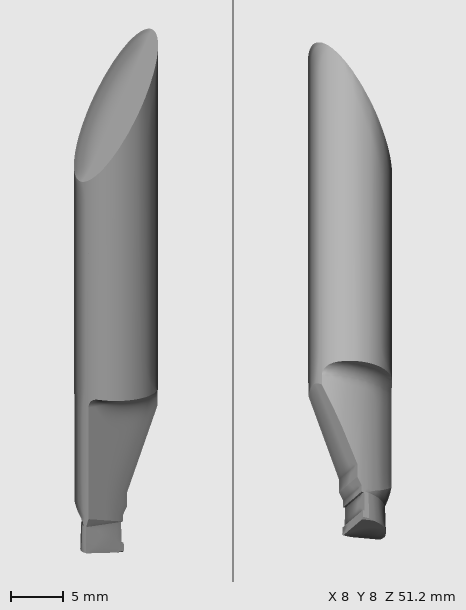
import cadquery as cq
import math

length = 51.2
diameter = 8.0
radius = diameter / 2
slant_angle = 60.0
slant_height = diameter * math.tan(math.radians(slant_angle))
shoulder_z = 16.0

neck_left = -2.28
neck_edge_x = -1.305
neck_edge_y = -math.sqrt(radius**2 - neck_edge_x**2)
neck_right = 1.35
shoulder_fillet = 0.95

back_slope_top_z = 14.55
back_step_y = 0.45
back_step_top_z = 5.9
back_step_bottom_z = 4.5
back_slope_end_z = 3.7

tip_height = 3.0
land_depth = 0.65
tip_top_left = -2.4
tip_bottom_left = -2.55
tip_top_front_left = 0.59
tip_bottom_front_left = 0.385
tip_front_right = 1.0
tip_bottom_right = 1.55
tip_bow = 0.65
bottom_rise = 0.4
corner_chamfer = 0.2
rake_depth = 0.2
rake_lip = 0.9

runout_axis_x = 1.8
runout_radius = 4.1
runout_fillet_rise = 0.65
runout_fillet_offset = 0.15
runout_top_z = 4.85
runout_top_offset = 0.75
right_runout_top_z = 3.95

root_search = 0.5
margin = 2.55
reach = radius + margin


def bow_point(start, end, bulge):
    """Middle point of an arc bulging to the right of the chord from start to end."""
    dx = end[0] - start[0]
    dy = end[1] - start[1]
    chord = math.hypot(dx, dy)
    return (
        (start[0] + end[0]) / 2 + bulge * dy / chord,
        (start[1] + end[1]) / 2 - bulge * dx / chord,
    )


def make_bar():
    """Full-length round bar with its slanted top."""
    bar = cq.Workplane("XY").workplane(offset=tip_height).circle(radius).extrude(length - tip_height)
    slant = (
        cq.Workplane("YZ")
        .polyline([(radius, length), (-radius, length - slant_height), (-radius, length)])
        .close()
        .extrude(radius, both=True)
    )
    return bar.cut(slant)


def make_neck_envelope():
    """Blade below a shoulder plate, with the corners between them rounded."""
    blade = (
        cq.Workplane("XY")
        .workplane(offset=tip_height)
        .moveTo(neck_edge_x, neck_edge_y)
        .threePointArc((neck_left, 0), (neck_edge_x, -neck_edge_y))
        .lineTo(neck_edge_x, reach)
        .lineTo(neck_right, reach)
        .lineTo(neck_right, -reach)
        .lineTo(neck_edge_x, -reach)
        .close()
        .extrude(shoulder_z - tip_height)
    )
    plate = (
        cq.Workplane("XY")
        .workplane(offset=shoulder_z)
        .rect(2 * reach, 2 * reach)
        .extrude(length - shoulder_z)
    )
    root_box = cq.selectors.BoxSelector(
        (neck_left - root_search, -radius, shoulder_z - root_search),
        (neck_right + root_search, radius, shoulder_z + root_search),
    )
    return blade.union(plate).edges(root_box).fillet(shoulder_fillet)


def make_back_relief():
    """Sloped and stepped relief that leaves the tip end of the neck at half depth."""
    return (
        cq.Workplane("YZ")
        .polyline([
            (radius, back_slope_top_z),
            (back_step_y, back_step_top_z),
            (back_step_y, back_step_bottom_z),
            (0, back_slope_end_z),
            (0, 0),
            (reach, 0),
            (reach, back_slope_top_z),
        ])
        .close()
        .extrude(reach, both=True)
    )


def make_left_runout():
    """Ring whose flared inner wall blends the curved flank into the neck."""
    fillet_top = (runout_radius + runout_fillet_offset, tip_height + runout_fillet_rise)
    fillet_middle = (
        runout_radius + runout_fillet_offset / 4,
        tip_height + runout_fillet_rise / 2,
    )
    outer_radius = 2 * reach
    ring = (
        cq.Workplane("XZ")
        .moveTo(runout_radius, tip_height)
        .threePointArc(fillet_middle, fillet_top)
        .lineTo(runout_radius + runout_top_offset, runout_top_z)
        .lineTo(outer_radius, runout_top_z)
        .lineTo(outer_radius, tip_height)
        .close()
        .revolve(360, (0, 0), (0, 1))
        .translate((runout_axis_x, 0, 0))
    )
    left_front = (
        cq.Workplane("XY")
        .box(reach, reach, length, centered=False)
        .translate((tip_front_right - reach, -reach, 0))
    )
    return ring.intersect(left_front)


def make_right_runout():
    """Four-sided wedge carrying the right flank clearance up into the neck."""
    back = (neck_right, 0, tip_height)
    front = (neck_right, -radius, tip_height)
    inner = (tip_front_right, -radius, tip_height)
    top = (neck_right, -radius, right_runout_top_z)
    corners = [(back, inner, front), (back, front, top), (back, top, inner), (front, inner, top)]
    faces = []
    for corner in corners:
        outline = cq.Wire.makePolygon([cq.Vector(*p) for p in corner], close=True)
        faces.append(cq.Face.makeFromWires(outline))
    return cq.Workplane(obj=cq.Solid.makeSolid(cq.Shell.makeShell(faces)))


def make_holder():
    """Shank and neck in one piece."""
    holder = make_bar().intersect(make_neck_envelope())
    for relief in (make_back_relief(), make_left_runout(), make_right_runout()):
        holder = holder.cut(relief)
    return holder


def tip_section(z, left, front_left, right):
    """Closed outline of the tip at height z."""
    land_end = (left, -land_depth)
    flank_end = (front_left, -radius)
    outline = (
        cq.Workplane("XY")
        .workplane(offset=z)
        .moveTo(left, 0)
        .lineTo(*land_end)
        .threePointArc(bow_point(flank_end, land_end, -tip_bow), flank_end)
        .lineTo(tip_front_right, -radius)
        .lineTo(right, 0)
        .close()
    )
    return outline.val()


def make_tip():
    """Cutting tip that widens towards its end, with end clearance and a rake step."""
    bottom = tip_section(0, tip_bottom_left, tip_bottom_front_left, tip_bottom_right)
    top = tip_section(tip_height, tip_top_left, tip_top_front_left, neck_right)
    tip = cq.Workplane(obj=cq.Solid.makeLoft([bottom, top], True))
    tip = tip.intersect(cq.Workplane("XY").circle(radius).extrude(tip_height))

    end_clearance = (
        cq.Workplane("YZ")
        .polyline([(0, 0), (-radius, bottom_rise), (-radius, 0)])
        .close()
        .extrude(radius, both=True)
    )
    tip = tip.cut(end_clearance)

    for corner_x, inward in ((tip_bottom_left, 1), (tip_bottom_right, -1)):
        corner = (
            cq.Workplane("XZ")
            .polyline([
                (corner_x, 0),
                (corner_x + inward * corner_chamfer, 0),
                (corner_x, corner_chamfer),
            ])
            .close()
            .extrude(radius)
        )
        tip = tip.cut(corner)

    rake_step = (
        cq.Workplane("XY")
        .box(2 * radius, rake_depth, tip_height - rake_lip, centered=(True, False, False))
        .translate((0, -rake_depth, rake_lip))
    )
    return tip.cut(rake_step)


holder = make_holder()
tip = make_tip()

result = cq.Compound.makeCompound([holder.val(), tip.val()])